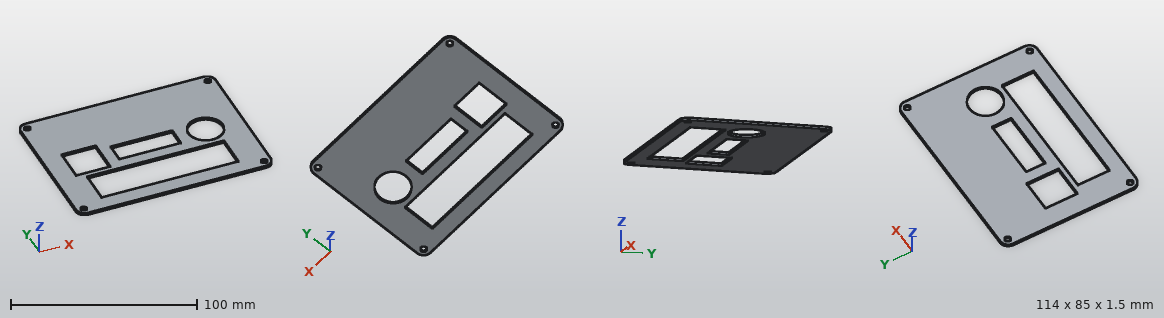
import cadquery as cq

length = 114.0
width = 85.0
thickness = 1.5
corner_radius = 5.0

screw_diameter = 3.4
screw_inset = 4.2

square_side = 20.0
square_x = -35.0
slot_length = 36.0
slot_width = 12.0
round_diameter = 20.0
round_x = 35.0

window_length = 80.0
window_width = 19.8
window_y = -23.1


def rectangular_cutter(size_x, size_y, x, y):
    """Block through the full plate thickness, centred at (x, y)."""
    return cq.Workplane("XY").center(x, y).rect(size_x, size_y).extrude(thickness)


plate = (
    cq.Workplane("XY")
    .rect(length, width)
    .extrude(thickness)
    .edges("|Z")
    .fillet(corner_radius)
)

screw_holes = (
    cq.Workplane("XY")
    .rect(length - 2 * screw_inset, width - 2 * screw_inset, forConstruction=True)
    .vertices()
    .circle(screw_diameter / 2)
    .extrude(thickness)
)

round_opening = (
    cq.Workplane("XY")
    .center(round_x, 0)
    .circle(round_diameter / 2)
    .extrude(thickness)
)

result = (
    plate.cut(screw_holes)
    .cut(rectangular_cutter(square_side, square_side, square_x, 0))
    .cut(rectangular_cutter(slot_length, slot_width, 0, 0))
    .cut(round_opening)
    .cut(rectangular_cutter(window_length, window_width, 0, window_y))
)